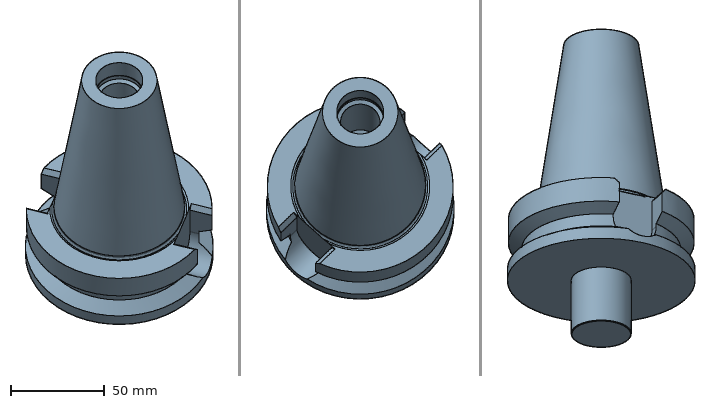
import cadquery as cq
import math

gauge_dia = 69.85
taper_length = 101.8
taper_ratio = 7 / 24
small_dia = gauge_dia - taper_length * taper_ratio

neck_dia = 69.25
neck_step = (gauge_dia - neck_dia) / 2
recess_dia = 74.0
recess_floor_dia = 71.8
recess_depth = 0.5
neck_fillet = 0.5

flange_dia = 100.0
upper_flange_dia = 99.0
flange_top = -1.5
flange_bottom = -38.0
groove_dia = 85.0
groove_center = -23.2
groove_floor_width = 7.2
groove_flank_angle = 30.0

slot_width = 25.47
slot_floor_distance = 35.4
slot_bottom = -34.0
slot_chamfer = 2.5

pin_dia = 32.0
pin_bottom = -70.0
pin_chamfer = 0.4

bore_dia = 25.02
bore_depth = 10.5
relief_dia = 25.47
relief_depth = 13.4
hole_dia = 21.0
hole_depth = 50.0
seat_angle = 20.0
drill_point_angle = 140.0


def slope_drop(radius_change, angle):
    """Height covered by a cone at this angle from the horizontal."""
    return radius_change * math.tan(math.radians(angle))


def make_body():
    floor_top = groove_center + groove_floor_width / 2
    floor_bottom = groove_center - groove_floor_width / 2
    recess_floor = flange_top - recess_depth
    flange_radius = flange_dia / 2
    upper_radius = upper_flange_dia / 2
    groove_radius = groove_dia / 2
    lower_flank = slope_drop(flange_radius - groove_radius, groove_flank_angle)
    upper_flank = slope_drop(upper_radius - groove_radius, groove_flank_angle)
    pin_radius = pin_dia / 2
    neck_radius = neck_dia / 2
    fillet_inset = neck_fillet * (1 - math.sqrt(0.5))
    lower_profile = [
        (0, pin_bottom),
        (pin_radius - pin_chamfer, pin_bottom),
        (pin_radius, pin_bottom + pin_chamfer),
        (pin_radius, flange_bottom),
        (flange_radius, flange_bottom),
        (flange_radius, floor_bottom - lower_flank),
        (groove_radius, floor_bottom),
        (groove_radius, floor_top),
        (upper_radius, floor_top + upper_flank),
        (upper_radius, flange_top),
        (recess_dia / 2, flange_top),
        (recess_floor_dia / 2, recess_floor),
        (neck_radius + neck_fillet, recess_floor),
    ]
    return (
        cq.Workplane("XZ")
        .polyline(lower_profile)
        .threePointArc(
            (neck_radius + fillet_inset, recess_floor + fillet_inset),
            (neck_radius, recess_floor + neck_fillet),
        )
        .lineTo(neck_radius, -neck_step)
        .lineTo(gauge_dia / 2, 0)
        .lineTo(small_dia / 2, taper_length)
        .lineTo(0, taper_length)
        .close()
        .revolve(360, (0, 0), (0, 1))
    )


def make_bore():
    bore_radius = bore_dia / 2
    relief_radius = relief_dia / 2
    hole_radius = hole_dia / 2
    bore_end = taper_length - bore_depth
    relief_end = taper_length - relief_depth
    seat_end = relief_end - slope_drop(relief_radius - hole_radius, seat_angle)
    hole_end = taper_length - hole_depth
    point_end = hole_end - slope_drop(hole_radius, 90 - drill_point_angle / 2)
    profile = [
        (0, taper_length),
        (bore_radius, taper_length),
        (bore_radius, bore_end),
        (relief_radius, bore_end),
        (relief_radius, relief_end),
        (hole_radius, seat_end),
        (hole_radius, hole_end),
        (0, point_end),
    ]
    return cq.Workplane("XZ").polyline(profile).close().revolve(360, (0, 0), (0, 1))


def make_slot():
    """Round-ended slot on the +X side, widened by a chamfer at the flange top."""
    half_width = slot_width / 2
    arc_center = slot_bottom + half_width
    mouth = half_width + slot_chamfer
    return (
        cq.Workplane("YZ", origin=(slot_floor_distance, 0, 0))
        .moveTo(-half_width, arc_center)
        .threePointArc((0, slot_bottom), (half_width, arc_center))
        .lineTo(half_width, flange_top - slot_chamfer)
        .lineTo(mouth, flange_top)
        .lineTo(-mouth, flange_top)
        .lineTo(-half_width, flange_top - slot_chamfer)
        .close()
        .extrude(flange_dia / 2)
    )


holder = make_body().cut(make_bore())
for turn in (0, 180):
    holder = holder.cut(make_slot().rotate((0, 0, 0), (0, 0, 1), turn))

result = cq.Workplane(obj=holder.solids().val())